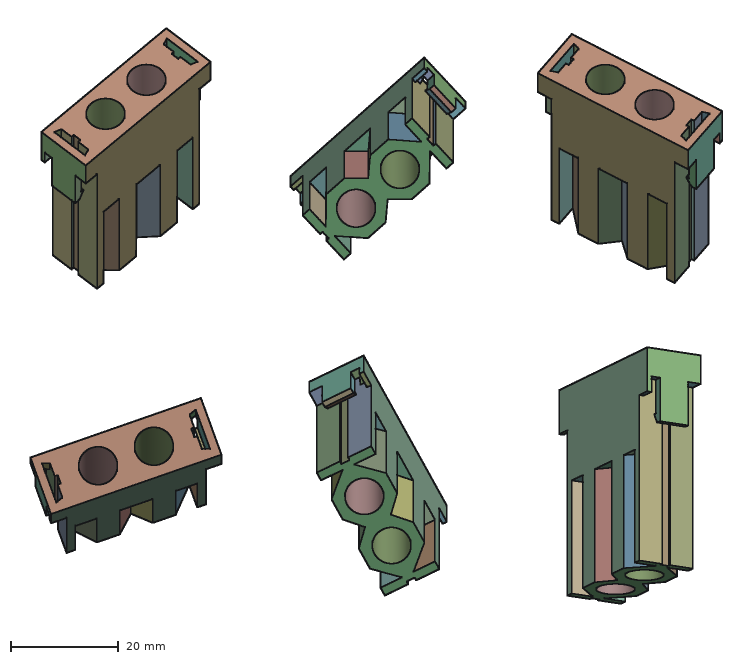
import cadquery as cq

width = 11.4
length = 33.6
height = 40.4

head_height = 8.5
body_length = 27.5
overlap = 1.0

bore_diameter = 7.2
bore_pitch = 11.0

latch_width = 6.0
latch_thickness = 1.65
latch_tip_thickness = 1.1
hook_reach = 0.6
hook_drop = 12.0
latch_drop = 13.9
window_drop = 5.5
side_wall = 0.9

slot_outer_width = 7.9
slot_inner_width = 6.9

keyway_width = 1.7
keyway_depth = 0.6

flute_height = 21.8
center_flute_half_width = 3.25
center_flute_depth = 3.0
end_flute_width = 4.25
end_flute_depth = 4.5
end_fin_thickness = 1.75

half_width = width / 2
half_length = length / 2
half_body = body_length / 2
head_bottom = height - head_height
window_top = height - window_drop


def box(x_range, y_range, z_range):
    """Return an axis-aligned box spanning the given ranges."""
    sizes = [end - start for start, end in (x_range, y_range, z_range)]
    corner = (x_range[0], y_range[0], z_range[0])
    return cq.Workplane("XY").box(*sizes, centered=False).translate(corner)


def make_blank():
    """Return the head block on top of the shorter body."""
    body = box((-half_width, half_width), (-half_body, half_body), (0, height))
    head = box((-half_width, half_width), (-half_length, half_length), (head_bottom, height))
    return body.union(head)


def make_window():
    """Return the cut that clears the -Y overhang around the latch."""
    return box(
        (-half_width + side_wall, half_width + overlap),
        (-half_length - overlap, -half_body),
        (head_bottom - overlap, window_top),
    )


def make_latch():
    """Return the hooked tab at the -Y end."""
    outer = -half_length
    inner = outer + latch_thickness
    catch = height - hook_drop
    end = height - latch_drop
    profile = [
        (outer, window_top),
        (inner, window_top),
        (inner, catch),
        (inner + hook_reach, catch),
        (outer + latch_tip_thickness, end),
        (outer, end),
    ]
    tab = cq.Workplane("YZ").polyline(profile).close()
    return tab.extrude(latch_width / 2, both=True)


def make_slot():
    """Return the dovetail slot through the head at the -Y end."""
    outer = -half_length + latch_thickness
    outline = [
        (-slot_outer_width / 2, outer),
        (slot_outer_width / 2, outer),
        (slot_inner_width / 2, -half_body),
        (-slot_inner_width / 2, -half_body),
    ]
    slot = cq.Workplane("XY").workplane(offset=window_top).polyline(outline).close()
    return slot.extrude(window_drop + overlap)


def make_keyway():
    """Return the full-height groove in the -Y end of the body."""
    return box(
        (-keyway_width / 2, keyway_width / 2),
        (-half_body, -half_body + keyway_depth),
        (-overlap, height + overlap),
    )


def make_flutes():
    """Return the flutes in the -X side: a V in the middle and a half V inside each end fin."""
    fin_face = half_body - end_fin_thickness
    end_flute_start = fin_face - end_flute_width
    outlines = [
        [
            (-half_width, -center_flute_half_width),
            (-half_width + center_flute_depth, 0),
            (-half_width, center_flute_half_width),
        ]
    ]
    for side in (-1, 1):
        outlines.append([
            (-half_width, side * end_flute_start),
            (-half_width + end_flute_depth, side * fin_face),
            (-half_width, side * fin_face),
        ])
    flutes = cq.Workplane("XY")
    for outline in outlines:
        flutes = flutes.polyline(outline).close()
    return flutes.extrude(flute_height)


def at_both_ends(shape):
    """Return a -Y end feature together with its mirror image at the +Y end."""
    return shape.union(shape.mirror("XZ"))


def make_bores():
    """Return the two through bores."""
    bores = cq.Workplane("XY").rarray(1, bore_pitch, 1, 2)
    return bores.circle(bore_diameter / 2).extrude(height)


flutes = make_flutes()

result = make_blank()
result = result.cut(at_both_ends(make_window()))
result = result.cut(at_both_ends(make_slot()))
result = result.union(at_both_ends(make_latch()))
result = result.cut(at_both_ends(make_keyway()))
result = result.cut(flutes).cut(flutes.mirror("YZ"))
result = result.cut(make_bores())